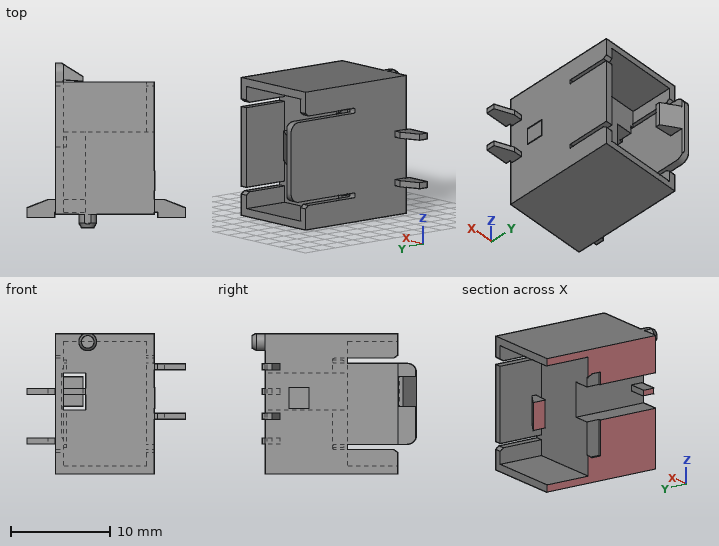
import cadquery as cq
import math

BODY_WIDTH = 10.0
BODY_DEPTH = 13.39
BODY_HEIGHT = 14.2
WALL = 0.82
FLOOR_DEPTH = 8.32

LEFT = -BODY_WIDTH / 2
RIGHT = BODY_WIDTH / 2
TOP = BODY_HEIGHT / 2

ARM_WIDTH = 8.21
ARM_OVERHANG = 1.91
ARM_CORNER_RADIUS = 1.0
SLOT_WIDTH = 0.5
SLOT_BOTTOM = 6.81
SLOT_CORNER_RADIUS = 0.18
MOUTH_CHAMFER_DEPTH = 0.4
MOUTH_CHAMFER_HEIGHT = 0.3

RELIEF_GAP = 0.33
RELIEF_WIDTH = 8.84
RELIEF_TAPER = 0.5

HOOK_REACH = 2.0
HOOK_WIDTH = 3.01
HOOK_TIP_HEIGHT = 0.53
HOOK_TIP_CLEARANCE = 0.05
HOOK_ROOT_CLEARANCE = 0.18
ARM_TIP_THICKNESS = 0.6

PITCH = 2.5
PIN_THICKNESS = 0.63
PIN_BACK = 1.52
PIN_SHANK_FRONT = 0.2
FOOT_DROP = 0.32
FOOT_LENGTH = 2.81
FOOT_TIP_HEIGHT = 1.0
FOOT_SLOPE_LENGTH = 2.1
LEFT_PIN_REACH = 2.86
RIGHT_PIN_REACH = 3.13
PIN_LEVELS = [PITCH * step for step in (1.5, 0.5, -0.5, -1.5)]

WINDOW_WIDTH = 2.25
WINDOW_HEIGHT = 3.71
WINDOW_LEVEL = PIN_LEVELS[1]

PEG_RADIUS = 0.9
PEG_TIP_RADIUS = 0.63
PEG_LENGTH = 1.35
PEG_CONE_LENGTH = 0.48
PEG_FLAT_WIDTH = PIN_THICKNESS
PEG_OFFSET = 3.26

PAD_THICKNESS = 0.07
PAD_DEPTH = 2.01
PAD_HEIGHT = 2.1
PAD_FRONT = 2.4
PAD_LEVEL = 0.58


def block(x_range, y_range, z_range):
    """Box between the given limits on each axis."""
    (x0, x1), (y0, y1), (z0, z1) = x_range, y_range, z_range
    return cq.Workplane("XY").box(x1 - x0, y1 - y0, z1 - z0, centered=False).translate((x0, y0, z0))


def span(center, size):
    """Limits of a length centred on a position."""
    return center - size / 2, center + size / 2


def xy_plate(points, level, thickness):
    """Plate with an XY outline, centred on a height."""
    return cq.Workplane("XY", origin=(0, 0, level)).polyline(points).close().extrude(thickness / 2, both=True)


def yz_plate(points, x_range):
    """Plate with a YZ outline, filling the given X limits."""
    plane = cq.Workplane("YZ", origin=(x_range[0], 0, 0))
    return plane.polyline(points).close().extrude(x_range[1] - x_range[0])


def housing():
    """Box with a plug cavity open at the back."""
    shell = block((LEFT, RIGHT), (0, BODY_DEPTH), (-TOP, TOP))
    cavity = block(
        (LEFT + WALL, RIGHT - WALL), (FLOOR_DEPTH, BODY_DEPTH), (-TOP + WALL, TOP - WALL)
    )
    return shell.cut(cavity)


def slot(bottom, x_range):
    """Upper arm slot over the given X limits, as its straight opening and its chamfered mouth."""
    inner = ARM_WIDTH / 2
    outer = inner + SLOT_WIDTH
    opening = block(x_range, (bottom, BODY_DEPTH), (inner, outer))
    mouth = yz_plate(
        [
            (BODY_DEPTH - MOUTH_CHAMFER_DEPTH, outer),
            (BODY_DEPTH, outer + MOUTH_CHAMFER_HEIGHT),
            (BODY_DEPTH, inner),
            (BODY_DEPTH - MOUTH_CHAMFER_DEPTH, inner),
        ],
        x_range,
    )
    return opening, mouth


def arm_slots():
    """Slots beside the arm, continued across the cavity through the right wall."""
    root, mouth = slot(SLOT_BOTTOM, (LEFT, LEFT + WALL))
    root = root.edges("|X and <Y").fillet(SLOT_CORNER_RADIUS)
    far_slot, far_mouth = slot(FLOOR_DEPTH, (LEFT + WALL, RIGHT))
    upper = root.union(mouth).union(far_slot).union(far_mouth)
    return upper.union(upper.mirror("XY"))


def arm_relief():
    """Shallow pocket that frees the arm root from the floor."""
    wide = RELIEF_WIDTH / 2
    narrow = ARM_WIDTH / 2
    shoulder = FLOOR_DEPTH - RELIEF_TAPER
    outline = [
        (SLOT_BOTTOM, -wide),
        (shoulder, -wide),
        (FLOOR_DEPTH, -narrow),
        (FLOOR_DEPTH, narrow),
        (shoulder, wide),
        (SLOT_BOTTOM, wide),
    ]
    return yz_plate(outline, (LEFT + WALL, LEFT + WALL + RELIEF_GAP))


def latch_end():
    """Free end of the arm with its ramped hook."""
    arm_end = BODY_DEPTH + ARM_OVERHANG
    arm_face = LEFT + WALL
    hook_tip = arm_face + HOOK_REACH
    ramp_start = LEFT + ARM_TIP_THICKNESS
    tip_top = BODY_DEPTH + HOOK_TIP_HEIGHT
    ramp_slope = (arm_end - tip_top) / (hook_tip - ramp_start)
    ramp_at_face = arm_end - ramp_slope * (arm_face - ramp_start)

    arm = xy_plate(
        [
            (LEFT, BODY_DEPTH),
            (LEFT, arm_end),
            (ramp_start, arm_end),
            (arm_face, ramp_at_face),
            (arm_face, BODY_DEPTH),
        ],
        0,
        ARM_WIDTH,
    )
    rounded = block((LEFT, arm_face), (BODY_DEPTH, arm_end), span(0, ARM_WIDTH))
    rounded = rounded.edges("|X and >Y").fillet(ARM_CORNER_RADIUS)
    hook = xy_plate(
        [
            (LEFT, BODY_DEPTH + HOOK_ROOT_CLEARANCE),
            (LEFT, arm_end),
            (ramp_start, arm_end),
            (hook_tip, tip_top),
            (hook_tip, BODY_DEPTH + HOOK_TIP_CLEARANCE),
            (arm_face, BODY_DEPTH + HOOK_ROOT_CLEARANCE),
        ],
        WINDOW_LEVEL,
        HOOK_WIDTH,
    )
    return arm.intersect(rounded).union(hook)


def terminal(side, reach, level):
    """Solder terminal; side is -1 for the left face and 1 for the right face."""
    tip = BODY_WIDTH / 2 + reach
    heel = tip - FOOT_LENGTH
    inner_end = BODY_WIDTH / 2 - WALL - WINDOW_WIDTH
    outline = [
        (inner_end, PIN_SHANK_FRONT),
        (heel, PIN_SHANK_FRONT),
        (heel, -FOOT_DROP),
        (tip, -FOOT_DROP),
        (tip, FOOT_TIP_HEIGHT - FOOT_DROP),
        (tip - FOOT_SLOPE_LENGTH, PIN_BACK),
        (inner_end, PIN_BACK),
    ]
    return xy_plate([(side * x, y) for x, y in outline], level, PIN_THICKNESS)


def peg():
    """Round peg with a coned tip and a flat level with the top face."""
    axis_drop = math.sqrt(PEG_RADIUS**2 - (PEG_FLAT_WIDTH / 2) ** 2)
    straight = PEG_LENGTH - PEG_CONE_LENGTH
    profile = [
        (0, 0),
        (PEG_RADIUS, 0),
        (PEG_RADIUS, -straight),
        (PEG_TIP_RADIUS, -PEG_LENGTH),
        (0, -PEG_LENGTH),
    ]
    pin = cq.Workplane("XY").polyline(profile).close().revolve(360, (0, 0, 0), (0, 1, 0))
    below_flat = block(span(0, 2 * PEG_RADIUS), (-PEG_LENGTH, 0), (-PEG_RADIUS, axis_drop))
    return pin.intersect(below_flat).translate((LEFT + PEG_OFFSET, 0, TOP - axis_drop))


window = block(
    (LEFT + WALL, LEFT + WALL + WINDOW_WIDTH), (0, FLOOR_DEPTH), span(WINDOW_LEVEL, WINDOW_HEIGHT)
)
pad = block(
    (RIGHT, RIGHT + PAD_THICKNESS), (PAD_FRONT, PAD_FRONT + PAD_DEPTH), span(PAD_LEVEL, PAD_HEIGHT)
)

result = housing().cut(arm_slots()).cut(arm_relief()).cut(window)
result = result.union(latch_end()).union(peg()).union(pad)
for index, pin_level in enumerate(PIN_LEVELS):
    if index % 2 == 0:
        result = result.union(terminal(1, RIGHT_PIN_REACH, pin_level))
    else:
        result = result.union(terminal(-1, LEFT_PIN_REACH, pin_level))